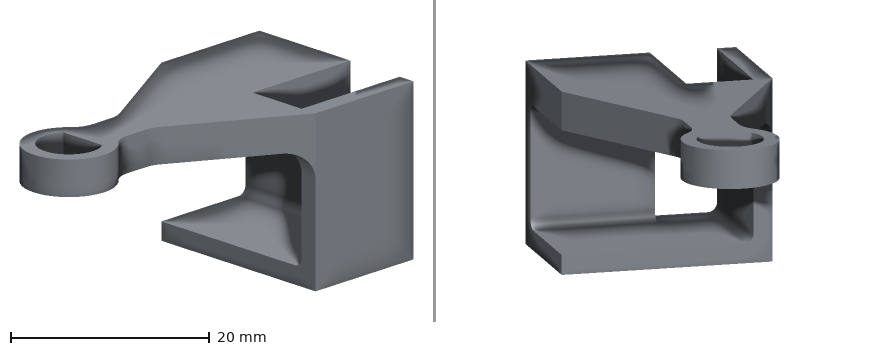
import cadquery as cq
import math

width = 22.0
length = 43.05
height = 19.0
block_depth = 13.95
plate_thickness = 4.0
floor_thickness = 2.05
side_wall = 2.0
back_wall = 2.0
back_wall_width = 13.0
inner_radius = 1.0
blend_radius = 3.0
neck_width = 5.0
taper_angle = 30.0
ring_radius = 5.0
hole_radius = 3.4
hole_flat_offset = 2.0

half_width = width / 2
half_neck = neck_width / 2
plate_bottom = height - plate_thickness
ring_y = ring_radius - length
wall_x = half_width - side_wall
slot_x = back_wall_width - half_width
neck_y = -block_depth - (half_width - half_neck) / math.tan(math.radians(taper_angle))


def box(x_min, x_max, y_min, y_max, z_min, z_max):
    size = (x_max - x_min, y_max - y_min, z_max - z_min)
    return cq.Workplane("XY").box(*size, centered=False).translate((x_min, y_min, z_min))


def arm_outline(bottom, top):
    """Tapered plate with neck and ring, extruded between two heights."""
    neck_end_y = ring_y + math.sqrt(ring_radius**2 - half_neck**2)
    outline = (
        cq.Workplane("XY", origin=(0, 0, bottom))
        .moveTo(-half_width, 0)
        .lineTo(-half_width, -block_depth)
        .lineTo(-half_neck, neck_y)
        .lineTo(-half_neck, neck_end_y)
        .threePointArc((0, ring_y - ring_radius), (half_neck, neck_end_y))
        .lineTo(half_neck, neck_y)
        .lineTo(half_width, -block_depth)
        .lineTo(half_width, 0)
        .close()
        .extrude(top - bottom)
    )
    neck_corners = cq.selectors.BoxSelector(
        (-half_neck - 0.45, neck_end_y - 0.45, bottom - 0.45),
        (half_neck + 0.45, neck_y + 0.45, top + 0.45),
    )
    return outline.edges("|Z").edges(neck_corners).fillet(blend_radius)


def d_hole():
    """Round hole with a flat on the side facing the neck."""
    hole = cq.Workplane("XY").center(0, ring_y).circle(hole_radius).extrude(height)
    flat_y = ring_y + hole_flat_offset
    return hole.intersect(box(-hole_radius, hole_radius, ring_y - hole_radius, flat_y, 0, height))


def inner_fillet(plane, corner, direction_1, direction_2, span):
    """Concave fillet strip in an inside corner, extruded along the plane normal."""
    u, v = corner
    du = direction_1 * inner_radius
    dv = direction_2 * inner_radius
    arc_inset = 1 - math.sqrt(0.5)
    return (
        cq.Workplane(plane)
        .moveTo(u, v)
        .lineTo(u + du, v)
        .threePointArc((u + du * arc_inset, v + dv * arc_inset), (u, v + dv))
        .close()
        .extrude(span)
    )


def wall_blend():
    """Fillet between the side wall's front edge and the plate, trimmed to the taper."""
    front_y = -block_depth
    blend = box(wall_x, half_width, front_y - blend_radius, front_y, plate_bottom - blend_radius, plate_bottom)
    cutter = (
        cq.Workplane("YZ")
        .center(front_y - blend_radius, plate_bottom - blend_radius)
        .circle(blend_radius)
        .extrude(half_width)
    )
    return blend.cut(cutter).intersect(arm_outline(0, height))


body = arm_outline(plate_bottom, height)
body = body.union(box(-half_width, half_width, -block_depth, 0, 0, floor_thickness))
body = body.union(box(wall_x, half_width, -block_depth, 0, 0, height))
body = body.union(box(-half_width, slot_x, -back_wall, 0, 0, height))

back_fillets = inner_fillet("YZ", (-back_wall, floor_thickness), -1, 1, back_wall_width)
back_fillets = back_fillets.union(inner_fillet("YZ", (-back_wall, plate_bottom), -1, -1, back_wall_width))
body = body.union(back_fillets.translate((-half_width, 0, 0)))
body = body.union(inner_fillet("XZ", (wall_x, floor_thickness), -1, 1, block_depth))
body = body.union(wall_blend())

body = body.cut(box(slot_x, wall_x, -block_depth, 0, plate_bottom, height))
result = body.cut(d_hole())